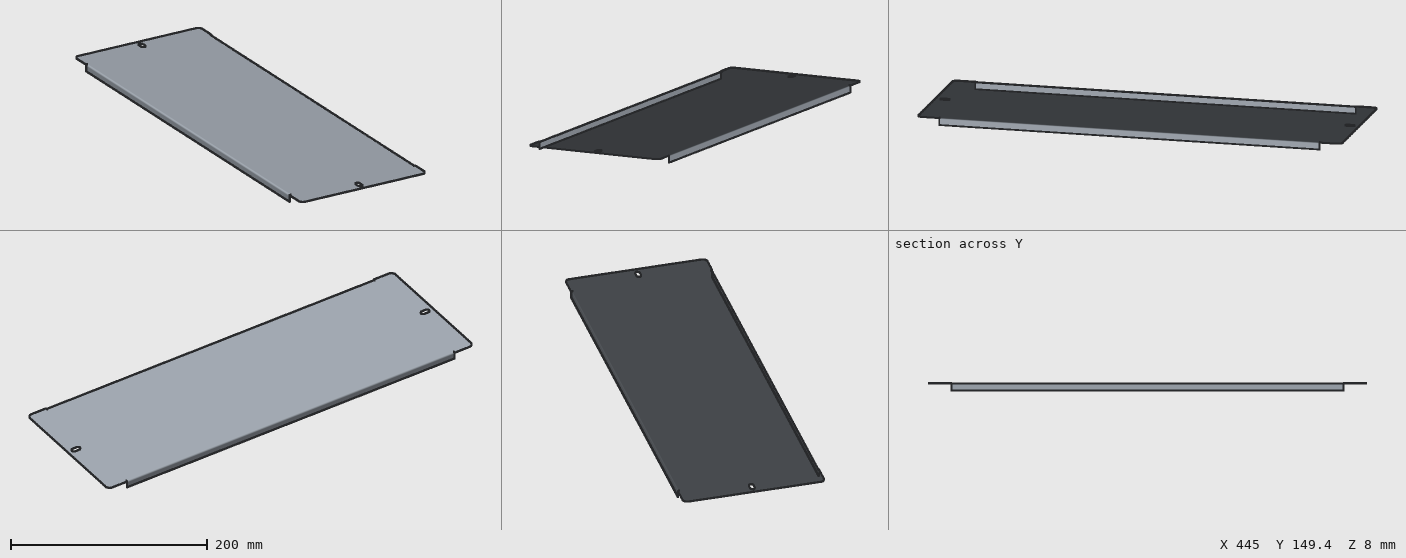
import cadquery as cq

length = 445.0
width = 149.4
height = 8.0

thickness = 0.8
bend_radius = 1.0
outer_bend_radius = bend_radius + thickness
corner_radius = 5.0

flange_length = 399.0

slot_spacing = 425.0
slot_length = 10.0
slot_width = 5.0


def flat_panel():
    """Cover sheet with its top face at Z = 0 and rounded corners."""
    sheet = cq.Workplane("XY").box(length, width, thickness, centered=(True, True, False))
    return sheet.edges("|Z").fillet(corner_radius).translate((0, 0, -thickness))


def folded_channel():
    """Middle of the sheet, with both long edges bent down into flanges."""
    channel = (
        cq.Workplane("XY")
        .box(flange_length, width, height, centered=(True, True, False))
        .translate((0, 0, -height))
    )
    channel = channel.edges("|X and >Z").fillet(outer_bend_radius)
    hollow = (
        cq.Workplane("XY")
        .box(flange_length, width - 2 * thickness, height, centered=(True, True, False))
        .translate((0, 0, -height - thickness))
    )
    return channel.cut(hollow.edges("|X and >Z").fillet(bend_radius))


def flange_span():
    """Block covering the length over which the sheet is folded."""
    return cq.Workplane("XY").box(flange_length, width, 2 * height)


def mounting_slots():
    """Cutters for the two slots running along X."""
    return (
        cq.Workplane("XY")
        .workplane(offset=-height)
        .pushPoints([(-slot_spacing / 2, 0), (slot_spacing / 2, 0)])
        .slot2D(slot_length, slot_width)
        .extrude(2 * height)
    )


end_tabs = flat_panel().cut(flange_span())
result = folded_channel().union(end_tabs).cut(mounting_slots())